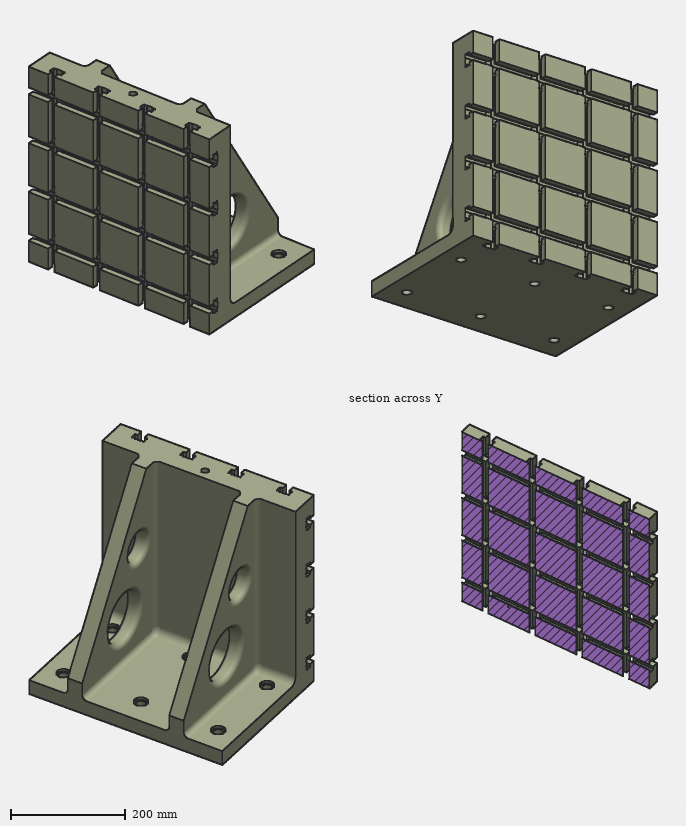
import cadquery as cq
import math

width = 400.0
depth = 300.0
height = 400.0

wall_thickness = 60.0
foot_thickness = 30.0
rib_thickness = 30.0
rib_top_length = 30.0
rib_end_height = 65.0
rib_offset = 80.0
rib_starts = (rib_offset, width - rib_offset - rib_thickness)
rib_fillet = 10.0
wall_foot_fillet = foot_thickness / 2

window_rounding = 10.0
lower_window_diameter = 100.0
lower_window_y = 160.0
lower_window_z = 120.0
upper_window_diameter = 60.0
upper_window_y = wall_thickness + wall_foot_fillet + upper_window_diameter / 2 + window_rounding
upper_window_z = 245.0
windows = (
    (lower_window_diameter, lower_window_y, lower_window_z),
    (upper_window_diameter, upper_window_y, upper_window_z),
)

slot_count = 4
slot_pitch = width / slot_count
slot_places = [slot_pitch * (i + 0.5) for i in range(slot_count)]
slot_neck_width = 14.0
slot_head_width = slot_pitch / 4
slot_neck_depth = 12.0
slot_relief_width = 12.0
slot_relief_depth = 24.0
slot_relief_step = 1.0
slot_head_depth = slot_relief_depth - slot_relief_step

bolt_spacing = 160.0
first_bolt_y = 90.0
bolt_diameter = 18.0
counterbore_diameter = 26.0
counterbore_depth = 5.0

lifting_hole_diameter = 14.0
lifting_hole_y = 40.0
lifting_hole_depth = 30.0
drill_tip_angle = 118.0

tolerance = 0.05


def box(x, y, z, size_x, size_y, size_z):
    """Box with its lowest corner at (x, y, z)."""
    return cq.Workplane("XY").box(size_x, size_y, size_z, centered=False).translate((x, y, z))


def make_angle_plate():
    """Wall and foot joined in an L."""
    wall = box(0, 0, 0, width, wall_thickness, height)
    foot = box(0, 0, 0, width, depth, foot_thickness)
    return wall.union(foot)


def make_rib(start_x):
    """Sloped rib that fills the corner between the foot and the wall."""
    outline = [
        (0, 0),
        (depth, 0),
        (depth, rib_end_height),
        (wall_thickness + rib_top_length, height),
        (0, height),
    ]
    rib = cq.Workplane("YZ").polyline(outline).close().extrude(rib_thickness)
    return rib.translate((start_x, 0, 0))


def cut_slot_band(solid, place, band_width, bottom, top=0.0):
    """Cut one layer of a T-slot, between two depths, along both Z and X."""
    start = place - band_width / 2
    upright = box(start, top, 0, band_width, bottom - top, height)
    level = box(0, top, start, width, bottom - top, band_width)
    return solid.cut(upright).cut(level)


body = make_angle_plate()
for start_x in rib_starts:
    body = body.union(make_rib(start_x))

inner_corner = cq.selectors.BoxSelector(
    (-tolerance, wall_thickness - tolerance, foot_thickness - tolerance),
    (width + tolerance, wall_thickness + tolerance, foot_thickness + tolerance),
    boundingbox=True,
)
body = body.edges(inner_corner).fillet(wall_foot_fillet)

for start_x in rib_starts:
    for side_x in (start_x, start_x + rib_thickness):
        wall_joint = cq.selectors.BoxSelector(
            (side_x - tolerance, wall_thickness - tolerance, foot_thickness),
            (side_x + tolerance, wall_thickness + tolerance, height + tolerance),
            boundingbox=True,
        )
        body = body.edges(wall_joint).fillet(rib_fillet)

for diameter, window_y, window_z in windows:
    drill = (
        cq.Workplane("YZ")
        .center(window_y, window_z)
        .circle(diameter / 2)
        .extrude(width)
    )
    body = body.cut(drill)
    reach = diameter / 2 + tolerance
    rims = cq.selectors.BoxSelector(
        (0, window_y - reach, window_z - reach),
        (width, window_y + reach, window_z + reach),
        boundingbox=True,
    )
    body = body.edges(rims).edges("%CIRCLE").fillet(window_rounding)

for place in slot_places:
    body = cut_slot_band(body, place, slot_neck_width, slot_neck_depth)
    body = cut_slot_band(body, place, slot_head_width, slot_head_depth, slot_neck_depth)
    body = cut_slot_band(body, place, slot_relief_width, slot_relief_depth, slot_head_depth)

bolt_places = [
    (width / 2 + column * bolt_spacing, first_bolt_y + row * bolt_spacing)
    for column in (-1, 0, 1)
    for row in (0, 1)
]
body = (
    body.copyWorkplane(cq.Workplane("XY", origin=(0, 0, foot_thickness)))
    .pushPoints(bolt_places)
    .cboreHole(bolt_diameter, counterbore_diameter, counterbore_depth)
)

tip_depth = lifting_hole_diameter / 2 / math.tan(math.radians(drill_tip_angle / 2))
lifting_drill = (
    cq.Workplane("XZ")
    .moveTo(0, height)
    .lineTo(lifting_hole_diameter / 2, height)
    .lineTo(lifting_hole_diameter / 2, height - lifting_hole_depth)
    .lineTo(0, height - lifting_hole_depth - tip_depth)
    .close()
    .revolve(360, (0, 0, 0), (0, 1, 0))
    .translate((width / 2, lifting_hole_y, 0))
)
result = body.cut(lifting_drill)